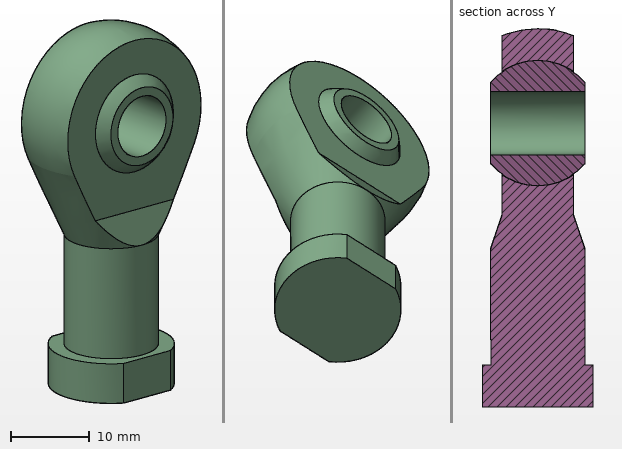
import cadquery as cq
import math

total_height = 47.95
head_radius = 12.0
head_width = 9.05
eye_height = total_height - head_radius

shank_radius = 6.0
neck_height = 20.05
collar_radius = 8.0
collar_height = 5.3
collar_flat_width = 14.0

slope_top_height = 24.35

ball_radius = 7.9
ball_width = 12.0
bore_radius = 4.005


def sphere_at_eye(radius):
    return cq.Workplane("XY").sphere(radius).translate((0, 0, eye_height))


def make_head_blank():
    """Spherical head with a cone running tangentially down to the shank."""
    neck_drop = eye_height - neck_height
    rim_distance = math.hypot(shank_radius, neck_drop)
    rim_angle = math.atan2(neck_drop, shank_radius)
    tangent_angle = rim_angle - math.acos(head_radius / rim_distance)
    tangent_radius = head_radius * math.cos(tangent_angle)
    tangent_height = eye_height - head_radius * math.sin(tangent_angle)

    middle_angle = (math.pi / 2 - tangent_angle) / 2
    arc_middle = (
        head_radius * math.cos(middle_angle),
        eye_height + head_radius * math.sin(middle_angle),
    )
    return (
        cq.Workplane("XZ")
        .moveTo(0, neck_height)
        .lineTo(shank_radius, neck_height)
        .lineTo(tangent_radius, tangent_height)
        .threePointArc(arc_middle, (0, total_height))
        .close()
        .revolve(360, (0, 0, 0), (0, 1, 0))
    )


def make_head_envelope():
    """Side-flat and neck-slope outline, extruded across the head along Y."""
    return (
        cq.Workplane("XZ")
        .moveTo(-shank_radius, neck_height)
        .lineTo(shank_radius, neck_height)
        .lineTo(head_width / 2, slope_top_height)
        .lineTo(head_width / 2, total_height)
        .lineTo(-head_width / 2, total_height)
        .lineTo(-head_width / 2, slope_top_height)
        .close()
        .extrude(head_radius, both=True)
    )


def make_collar():
    """Round collar with two wrench flats facing -X and +X."""
    flats = cq.Workplane("XY").rect(collar_flat_width, 2 * collar_radius).extrude(collar_height)
    return cq.Workplane("XY").circle(collar_radius).extrude(collar_height).intersect(flats)


def make_rod_end():
    head = make_head_blank().intersect(make_head_envelope())
    shank = cq.Workplane("XY").circle(shank_radius).extrude(neck_height)
    ball_seat = sphere_at_eye(ball_radius)
    return head.union(shank).union(make_collar()).cut(ball_seat)


def make_ball():
    """Sphere truncated by two end faces and bored through along X."""
    ring = (
        cq.Workplane("YZ")
        .center(0, eye_height)
        .circle(ball_radius)
        .circle(bore_radius)
        .extrude(ball_width / 2, both=True)
    )
    return sphere_at_eye(ball_radius).intersect(ring)


rod_end = make_rod_end()
ball = make_ball()

result = cq.Compound.makeCompound([rod_end.val(), ball.val()])